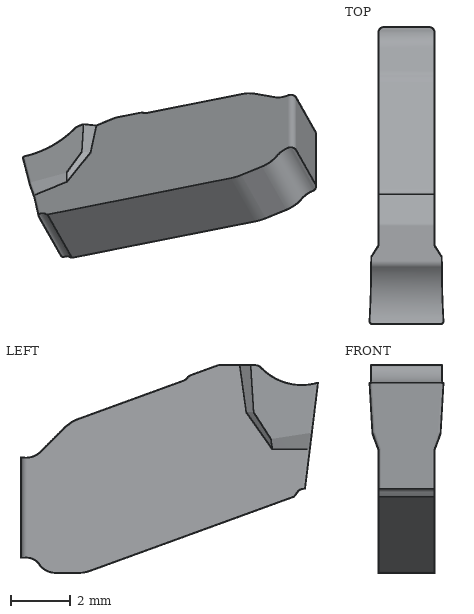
import cadquery as cq
import math

LENGTH = 10.0
HEIGHT = 7.0
TIP_WIDTH = 2.5
BODY_WIDTH = 1.9
HALF_BODY = BODY_WIDTH / 2

TIP_Z = 6.41
FRONT_LOW_Z = 2.83
FRONT_CLEARANCE = math.radians(7)
SEAT_ANGLE = math.radians(20)
TAIL_TOP_Z = 3.89
TAIL_LOW_Z = 0.51
TAIL_LEDGE_Y = LENGTH - 0.1

FRONT_EDGE_RADIUS = 0.1
TAIL_EDGE_RADIUS = 0.2

FLANK_BACK_TAPER = math.radians(2.5)
FLANK_DOWN_TAPER = math.radians(3)
HEAD_KNEE_Z = TIP_Z - 1.0
HEAD_ROOT_Z = 4.16
HEAD_OVERRUN = 0.3
SHARP_HALF_TIP = TIP_WIDTH / 2 + FRONT_EDGE_RADIUS * math.tan(FLANK_BACK_TAPER)


def seat_rise(run):
    """Climb of the inclined seats over a run along Y."""
    return run * math.tan(SEAT_ANGLE)


def side_profile():
    """Outline of the insert in the YZ plane, extruded wider than the tip on both sides."""
    front_low_y = (TIP_Z - FRONT_LOW_Z) * math.tan(FRONT_CLEARANCE)
    relief_y = 0.5
    belly_back = (7.66, 0.075)
    belly_front_y = 0.81
    belly_front = (belly_front_y, belly_back[1] + seat_rise(belly_back[0] - belly_front_y))
    roof_back = (8.14, 5.16)
    roof_front_y = 4.58
    roof_front = (roof_front_y, roof_back[1] + seat_rise(roof_back[0] - roof_front_y))
    crown_slope_front = (3.38, 6.99)
    crown_back_y = 4.28
    crown_back = (crown_back_y, crown_slope_front[1] - seat_rise(crown_back_y - crown_slope_front[0]))
    return (
        cq.Workplane("YZ")
        .moveTo(0, TIP_Z)
        .lineTo(front_low_y, FRONT_LOW_Z)
        .lineTo(relief_y, FRONT_LOW_Z)
        .threePointArc((0.61, 2.80), (0.71, 2.70))
        .lineTo(0.76, 2.63)
        .lineTo(*belly_front)
        .lineTo(*belly_back)
        .threePointArc((7.85, 0.02), (8.05, 0))
        .lineTo(8.82, 0)
        .threePointArc((9.1, 0.06), (9.34, 0.23))
        .threePointArc((9.54, 0.44), (TAIL_LEDGE_Y, TAIL_LOW_Z))
        .lineTo(LENGTH, TAIL_LOW_Z)
        .lineTo(LENGTH, TAIL_TOP_Z)
        .lineTo(TAIL_LEDGE_Y, TAIL_TOP_Z)
        .threePointArc((9.53, 3.95), (9.31, 4.11))
        .lineTo(8.56, 4.86)
        .threePointArc((8.48, 4.94), (8.38, 5.01))
        .lineTo(8.32, 5.06)
        .threePointArc((8.24, 5.11), roof_back)
        .lineTo(*roof_front)
        .threePointArc((4.48, 6.5), (4.37, 6.61))
        .lineTo(*crown_back)
        .lineTo(*crown_slope_front)
        .threePointArc((3.35, 6.997), (3.32, HEIGHT))
        .lineTo(2.11, HEIGHT)
        .threePointArc((2.0, 6.97), (1.91, 6.9))
        .threePointArc((0.65, 6.33), (0, TIP_Z))
        .close()
        .extrude(TIP_WIDTH, both=True)
    )


def flank_point(y, z):
    """Point at the given Y and Z on the tilted +X flank of the head."""
    back_narrowing = y * math.tan(FLANK_BACK_TAPER)
    down_narrowing = (TIP_Z - z) * math.tan(FLANK_DOWN_TAPER)
    return cq.Vector(SHARP_HALF_TIP - back_narrowing - down_narrowing, y, z)


def head_flare(side):
    """Raised flank on one side of the head; side is +1 or -1 along X."""
    root = [
        (2.64, HEIGHT),
        (2.42, HEAD_KNEE_Z),
        (1.54, HEAD_ROOT_Z),
        (-HEAD_OVERRUN, HEAD_ROOT_Z),
        (-HEAD_OVERRUN, HEIGHT),
    ]
    flank = [
        (2.27, HEIGHT),
        (2.17, HEAD_KNEE_Z),
        (1.59, 4.51),
        (-HEAD_OVERRUN, 4.80),
        (-HEAD_OVERRUN, HEIGHT),
    ]
    root_wire = cq.Wire.makePolygon([cq.Vector(HALF_BODY, y, z) for y, z in root], close=True)
    flank_wire = cq.Wire.makePolygon([flank_point(y, z) for y, z in flank], close=True)
    flare = cq.Workplane(cq.Solid.makeLoft([root_wire, flank_wire], True))
    return flare if side > 0 else flare.mirror("YZ")


def full_width_stock():
    """Plain body slab with a flare on each side of the head."""
    body = cq.Workplane("XY").box(BODY_WIDTH, LENGTH + HEAD_OVERRUN, HEIGHT, centered=(True, False, False))
    body = body.translate((0, -HEAD_OVERRUN, 0))
    for side in (1, -1):
        body = body.union(head_flare(side))
    return body


def round_front_edges(part):
    """Round the edges where the front clearance face meets the sides."""
    return part.faces("<Y").edges("not |X").fillet(FRONT_EDGE_RADIUS)


def round_tail_edges(part):
    """Round the two upright edges of the tail face."""
    return part.faces(">Y").edges("|Z").fillet(TAIL_EDGE_RADIUS)


insert = side_profile().intersect(full_width_stock())
result = round_tail_edges(round_front_edges(insert))